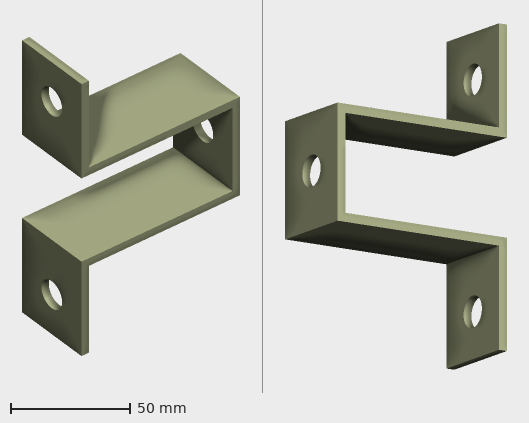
import cadquery as cq

width = 40.0
depth = 85.0
height = 141.0

thickness = 4.0
channel_height = 51.0

hole_diameter = 14.0
hole_spacing = 50.0

front = -depth / 2
flange_back = front + thickness
back = depth / 2
back_plate_inside = back - thickness

top = height / 2
arm_top = channel_height / 2
arm_bottom = arm_top - thickness


def make_strap():
    """Bent strip profile in the YZ plane, extruded across the width."""
    upper_half = [
        (back_plate_inside, arm_bottom),
        (front, arm_bottom),
        (front, top),
        (flange_back, top),
        (flange_back, arm_top),
        (back, arm_top),
    ]
    lower_half = [(y, -z) for y, z in reversed(upper_half)]
    profile = cq.Workplane("YZ").polyline(upper_half + lower_half).close()
    return profile.extrude(width / 2, both=True)


def make_hole_cutters():
    """Cylinders along Y that pass through the flanges and the back plate."""
    centers = [(0, -hole_spacing), (0, 0), (0, hole_spacing)]
    sketch = cq.Workplane("XZ").pushPoints(centers).circle(hole_diameter / 2)
    return sketch.extrude(depth, both=True)


result = make_strap().cut(make_hole_cutters())